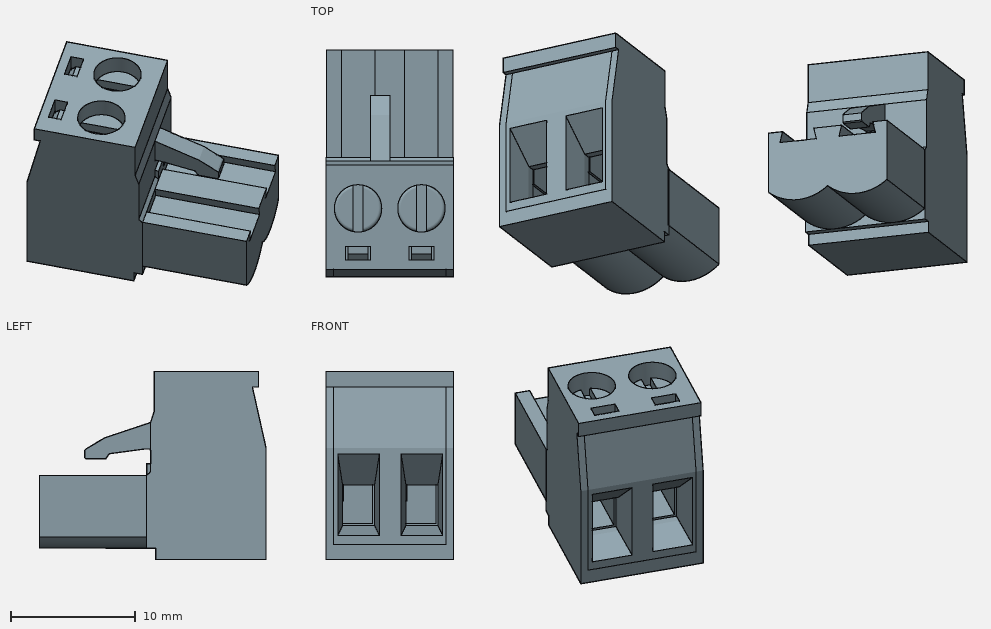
import cadquery as cq


POLE_PITCH = 5.08
POLE_X = (-POLE_PITCH / 2, POLE_PITCH / 2)

BLOCK_WIDTH = 10.26
BLOCK_HEIGHT = 15.1
TOTAL_DEPTH = 18.2
LIP_FRONT_Y = 0.61
LIP_BOTTOM_Z = 13.83
SLOPE_TOP_Y = 1.1
SLOPE_BOTTOM_Z = 8.92
FOOT_REAR_Y = 8.87
UPPER_REAR_Y = 8.98
REAR_WALL_Y = 9.28
SHOULDER_REAR_Y = 9.59
UPPER_TAPER_TOP_Z = 11.92
UPPER_TAPER_BOTTOM_Z = 11.0
SHOULDER_SLOPE_TOP_Z = 7.04

PLUG_WIDTH = 10.15
PLUG_BOTTOM_Z = 0.91
PLUG_TOP_Z = 6.75
LOBE_RISE = 0.89
GROOVE_INNER_X = 1.19
GROOVE_OUTER_X = 3.86
GROOVE_DEPTH = 0.9
GROOVE_UNDERCUT = 0.22

LATCH_WIDTH = 1.6
LATCH_X = -0.76
LATCH_RIB_TOP_Z = 7.7
LATCH_BEND_Y = 12.96
LATCH_BEND_Z = 9.77
LATCH_TIP_Y = 14.57
LATCH_TIP_TOP_Z = 8.87
LATCH_TIP_BEVEL = 0.1
HOOK_BOTTOM_Z = 8.07
HOOK_REAR_BOTTOM_Y = 12.86
HOOK_REAR_TOP_Y = 12.6
HOOK_REAR_TOP_Z = 8.48
LATCH_ROOT_BOTTOM_Z = 8.86
LATCH_ROOT_FLAT_Y = 9.75
LATCH_ROOT_BEVEL = 0.08

COVER_WIDTH = 9.06
COVER_BOTTOM_Z = 1.21
COVER_DEPTH = 3.2
FUNNEL_DEPTH = 2.5
FUNNEL_SHIFT_X = 0.04
FUNNEL_MOUTH_WIDTH = 3.33
FUNNEL_MOUTH_Z = (1.94, 8.45)
FUNNEL_THROAT_WIDTH = 2.57
FUNNEL_THROAT_Z = (2.73, 6.0)

CATCH_SLOT_WIDTH = 2.03
CATCH_WIDTH = 1.6
CATCH_FRONT_Y = 1.38
CATCH_REAR_Y = 2.43
CATCH_TOP_Z = 14.3
CATCH_BEVEL = CATCH_TOP_Z - LIP_BOTTOM_Z

SCREW_Y = 5.5
HEAD_DIAMETER = 3.8
HEAD_TOP_Z = 13.7
HEAD_HEIGHT = 2.0
HEAD_ROUND = 0.25
DRIVER_SLOT_WIDTH = 0.8
DRIVER_SLOT_DEPTH = 0.8
SHANK_DIAMETER = 2.5

CAGE_WIDTH = 3.8
CAGE_BOTTOM_Z = 2.0
CAGE_TOP_Z = 9.0
CAGE_REAR_Y = 8.0
WINDOW_WIDTH = 2.3
WINDOW_BOTTOM_Z = 2.91
WINDOW_TOP_Z = 7.5
WINDOW_RELIEF = 0.2
WINDOW_RELIEF_TOP_Z = 4.72

CONTACT_THICKNESS = 0.5


def box_between(x_range, y_range, z_range):
    """Axis-aligned box given by its limits along X, Y and Z."""
    size = [high - low for low, high in (x_range, y_range, z_range)]
    return cq.Workplane("XY").box(*size, centered=False).translate(
        (x_range[0], y_range[0], z_range[0])
    )


def centred_range(centre, width):
    return (centre - width / 2, centre + width / 2)


def extrude_side_profile(points, centre_x, width):
    """Extrude a closed (Y, Z) outline along X, centred on centre_x."""
    sketch = cq.Workplane("YZ", origin=(centre_x, 0, 0)).polyline(points).close()
    return sketch.extrude(width / 2, both=True)


def make_block():
    return extrude_side_profile(
        [
            (0, 0),
            (FOOT_REAR_Y, 0),
            (FOOT_REAR_Y, PLUG_BOTTOM_Z),
            (SHOULDER_REAR_Y, PLUG_BOTTOM_Z),
            (SHOULDER_REAR_Y, PLUG_TOP_Z),
            (REAR_WALL_Y, SHOULDER_SLOPE_TOP_Z),
            (REAR_WALL_Y, UPPER_TAPER_BOTTOM_Z),
            (UPPER_REAR_Y, UPPER_TAPER_TOP_Z),
            (UPPER_REAR_Y, BLOCK_HEIGHT),
            (LIP_FRONT_Y, BLOCK_HEIGHT),
            (LIP_FRONT_Y, LIP_BOTTOM_Z),
            (SLOPE_TOP_Y, LIP_BOTTOM_Z),
            (0, SLOPE_BOTTOM_Z),
        ],
        0,
        BLOCK_WIDTH,
    )


def make_plug():
    """Plug section: two rounded lobes below, two dovetail grooves on top."""
    half = PLUG_WIDTH / 2
    lobe_edge_z = PLUG_BOTTOM_Z + LOBE_RISE
    length = TOTAL_DEPTH - SHOULDER_REAR_Y
    rear_plane = cq.Workplane("XZ", origin=(0, TOTAL_DEPTH, 0))
    plug = (
        rear_plane.moveTo(-half, PLUG_TOP_Z)
        .lineTo(-half, lobe_edge_z)
        .threePointArc((-half / 2, PLUG_BOTTOM_Z), (0, lobe_edge_z))
        .threePointArc((half / 2, PLUG_BOTTOM_Z), (half, lobe_edge_z))
        .lineTo(half, PLUG_TOP_Z)
        .close()
        .extrude(length)
    )
    floor_z = PLUG_TOP_Z - GROOVE_DEPTH
    for side in (-1, 1):
        groove = (
            rear_plane.moveTo(side * GROOVE_INNER_X, PLUG_TOP_Z)
            .lineTo(side * (GROOVE_INNER_X - GROOVE_UNDERCUT), floor_z)
            .lineTo(side * (GROOVE_OUTER_X + GROOVE_UNDERCUT), floor_z)
            .lineTo(side * GROOVE_OUTER_X, PLUG_TOP_Z)
            .close()
            .extrude(length)
        )
        plug = plug.cut(groove)
    return plug


def make_latch():
    """Hooked latch arm on the rear wall, with the short rib below it."""
    arm = extrude_side_profile(
        [
            (UPPER_REAR_Y, UPPER_TAPER_BOTTOM_Z),
            (REAR_WALL_Y, UPPER_TAPER_BOTTOM_Z),
            (LATCH_BEND_Y, LATCH_BEND_Z),
            (LATCH_TIP_Y - LATCH_TIP_BEVEL, LATCH_TIP_TOP_Z),
            (LATCH_TIP_Y, LATCH_TIP_TOP_Z - LATCH_TIP_BEVEL),
            (LATCH_TIP_Y, HOOK_BOTTOM_Z + LATCH_TIP_BEVEL),
            (LATCH_TIP_Y - LATCH_TIP_BEVEL, HOOK_BOTTOM_Z),
            (HOOK_REAR_BOTTOM_Y, HOOK_BOTTOM_Z),
            (HOOK_REAR_TOP_Y, HOOK_REAR_TOP_Z),
            (LATCH_ROOT_FLAT_Y, LATCH_ROOT_BOTTOM_Z),
            (REAR_WALL_Y + LATCH_ROOT_BEVEL, LATCH_ROOT_BOTTOM_Z),
            (REAR_WALL_Y, LATCH_ROOT_BOTTOM_Z - LATCH_ROOT_BEVEL),
            (UPPER_REAR_Y, LATCH_ROOT_BOTTOM_Z - LATCH_ROOT_BEVEL),
        ],
        LATCH_X,
        LATCH_WIDTH,
    )
    rib = box_between(
        centred_range(LATCH_X, LATCH_WIDTH),
        (UPPER_REAR_Y, SHOULDER_REAR_Y),
        (PLUG_TOP_Z - GROOVE_DEPTH, LATCH_RIB_TOP_Z),
    )
    return arm.union(rib)


def make_cover_blank():
    """Cover without funnels or catches; also the pocket it fills."""
    return extrude_side_profile(
        [
            (0, COVER_BOTTOM_Z),
            (COVER_DEPTH, COVER_BOTTOM_Z),
            (COVER_DEPTH, LIP_BOTTOM_Z),
            (SLOPE_TOP_Y, LIP_BOTTOM_Z),
            (0, SLOPE_BOTTOM_Z),
        ],
        0,
        COVER_WIDTH,
    )


def make_catch(x):
    return extrude_side_profile(
        [
            (CATCH_FRONT_Y, LIP_BOTTOM_Z),
            (CATCH_REAR_Y, LIP_BOTTOM_Z),
            (CATCH_REAR_Y, CATCH_TOP_Z),
            (CATCH_FRONT_Y + CATCH_BEVEL, CATCH_TOP_Z),
        ],
        x,
        CATCH_WIDTH,
    )


def make_funnel(x):
    """Wire entry: a taper from the front face, then a straight throat to the cage."""
    mouth_bottom, mouth_top = FUNNEL_MOUTH_Z
    throat_bottom, throat_top = FUNNEL_THROAT_Z
    mouth_z = (mouth_bottom + mouth_top) / 2
    throat_z = (throat_bottom + throat_top) / 2
    taper = (
        cq.Workplane("XZ", origin=(x, 0, mouth_z))
        .rect(FUNNEL_MOUTH_WIDTH, mouth_top - mouth_bottom)
        .workplane(offset=-FUNNEL_DEPTH)
        .center(0, throat_z - mouth_z)
        .rect(FUNNEL_THROAT_WIDTH, throat_top - throat_bottom)
        .loft(combine=True)
    )
    throat = box_between(
        centred_range(x, FUNNEL_THROAT_WIDTH),
        (FUNNEL_DEPTH, COVER_DEPTH),
        FUNNEL_THROAT_Z,
    )
    return taper.union(throat)


def make_cover():
    cover = make_cover_blank()
    for x in POLE_X:
        cover = cover.union(make_catch(x))
        cover = cover.cut(make_funnel(x + FUNNEL_SHIFT_X))
    return cover


def cylinder_down(x, diameter, top_z, height):
    """Vertical cylinder on a screw axis, reaching down from top_z."""
    base = cq.Workplane("XY", origin=(x, SCREW_Y, top_z))
    return base.circle(diameter / 2).extrude(-height)


def make_shank(x):
    """Screw shank, from the head down to the inside of the cage roof."""
    shank_top_z = HEAD_TOP_Z - HEAD_HEIGHT
    return cylinder_down(x, SHANK_DIAMETER, shank_top_z, shank_top_z - WINDOW_TOP_Z)


def make_screw(x):
    head = cylinder_down(x, HEAD_DIAMETER, HEAD_TOP_Z, HEAD_HEIGHT)
    head = head.faces(">Z").edges().fillet(HEAD_ROUND)
    driver_slot = box_between(
        centred_range(x, DRIVER_SLOT_WIDTH),
        centred_range(SCREW_Y, HEAD_DIAMETER),
        (HEAD_TOP_Z - DRIVER_SLOT_DEPTH, HEAD_TOP_Z),
    )
    return head.cut(driver_slot).union(make_shank(x))


def make_cage_blank(x):
    return box_between(
        centred_range(x, CAGE_WIDTH),
        (COVER_DEPTH, CAGE_REAR_Y),
        (CAGE_BOTTOM_Z, CAGE_TOP_Z),
    )


def make_cage(x):
    """Clamp cage: a rectangular sleeve with a hole in its roof for the screw."""
    depth_range = (COVER_DEPTH, CAGE_REAR_Y)
    window_left, window_right = centred_range(x, WINDOW_WIDTH)
    window = box_between(
        (window_left, window_right), depth_range, (WINDOW_BOTTOM_Z, WINDOW_TOP_Z)
    )
    relief = box_between(
        (window_left - WINDOW_RELIEF, window_left),
        depth_range,
        (WINDOW_BOTTOM_Z, WINDOW_RELIEF_TOP_Z),
    )
    return make_cage_blank(x).cut(window).cut(relief).cut(make_shank(x))


def make_contact(x):
    return box_between(
        centred_range(x, CAGE_WIDTH),
        (CAGE_REAR_Y, CAGE_REAR_Y + CONTACT_THICKNESS),
        (CAGE_BOTTOM_Z, CAGE_TOP_Z),
    )


def make_housing():
    housing = make_block().union(make_plug()).union(make_latch())
    housing = housing.cut(make_cover_blank())
    for x in POLE_X:
        catch_slot = box_between(
            centred_range(x, CATCH_SLOT_WIDTH),
            (CATCH_FRONT_Y, CATCH_REAR_Y),
            (LIP_BOTTOM_Z, BLOCK_HEIGHT),
        )
        head_bore_depth = BLOCK_HEIGHT - HEAD_TOP_Z + HEAD_HEIGHT
        head_bore = cylinder_down(x, HEAD_DIAMETER, BLOCK_HEIGHT, head_bore_depth)
        housing = housing.cut(catch_slot).cut(head_bore).cut(make_shank(x))
        housing = housing.cut(make_cage_blank(x)).cut(make_contact(x))
    return housing


housing = make_housing()
cover = make_cover()
screws = [make_screw(x) for x in POLE_X]
cages = [make_cage(x) for x in POLE_X]
contacts = [make_contact(x) for x in POLE_X]

result = cq.Compound.makeCompound(
    [body.val() for body in [housing, cover, *screws, *cages, *contacts]]
)